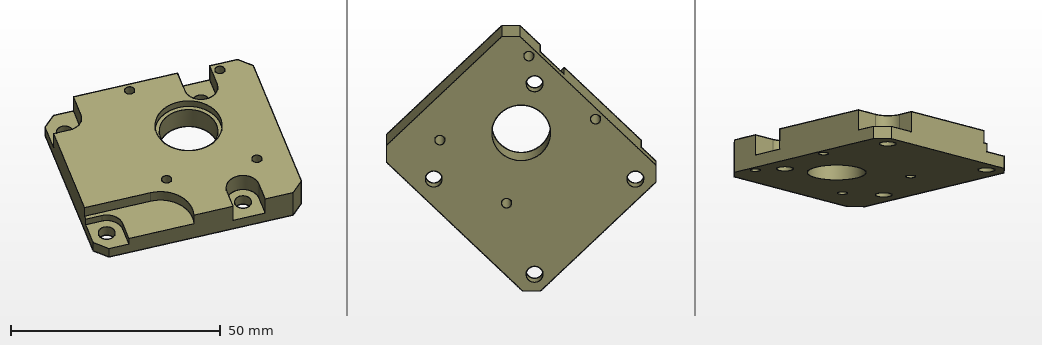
import cadquery as cq

length_x = 45.0
length_y = 52.0
thickness = 8.0
corner_chamfer = 3.0

mount_diameter = 4.0
mount_left = 6.0
mount_front = 4.0
mount_pitch = 34.0
mount_right = mount_left + mount_pitch
mount_back = mount_front + mount_pitch
pocket_radius = 4.0
pocket_floor = 3.0

bore_x = 17.0
bore_y = 31.5
bore_diameter = 14.0
counterbore_diameter = 16.0
counterbore_depth = 2.0

small_diameter = 2.4
small_pitch_x = 30.0
small_pitch_y = 22.5
small_front = 21.4

relief_left = 35.0
relief_radius = 8.0
relief_arc_y = 16.5
relief_floor = 5.0


def block(x_start, x_end, y_start, y_end, floor):
    """Box from the given floor up to the top face."""
    box = cq.Workplane("XY").box(
        x_end - x_start, y_end - y_start, thickness - floor, centered=False
    )
    return box.translate((x_start, y_start, floor))


def cylinder(x, y, diameter, floor=0.0):
    """Vertical cylinder from the given floor up to the top face."""
    plane = cq.Workplane("XY", origin=(x, y, floor))
    return plane.circle(diameter / 2).extrude(thickness - floor)


def screw_pocket(x, y):
    """Round-ended pocket open to the nearer side, and to the front in the front corners."""
    opens_left = x < length_x / 2
    side = 0 if opens_left else length_x
    x_start, x_end = min(x, side), max(x, side)
    pocket = cylinder(x, y, 2 * pocket_radius, pocket_floor)
    pocket = pocket.union(
        block(x_start, x_end, y - pocket_radius, y + pocket_radius, pocket_floor)
    )
    if y == mount_front:
        inner = x + pocket_radius if opens_left else x - pocket_radius
        corner = block(min(inner, side), max(inner, side), 0, y, pocket_floor)
        pocket = pocket.union(corner)
    return pocket


def relief():
    """Shallow pocket open to the front and right, with a round back end."""
    arc_x = relief_left + relief_radius
    round_end = cylinder(arc_x, relief_arc_y, 2 * relief_radius, relief_floor)
    straight = block(relief_left, length_x, 0, relief_arc_y, relief_floor)
    return straight.union(round_end)


plate = cq.Workplane("XY").box(length_x, length_y, thickness, centered=False)
result = plate.edges("|Z").chamfer(corner_chamfer)

result = result.cut(relief())

for mount_x in (mount_left, mount_right):
    for mount_y in (mount_front, mount_back):
        result = result.cut(screw_pocket(mount_x, mount_y))
        result = result.cut(cylinder(mount_x, mount_y, mount_diameter))

result = result.cut(cylinder(bore_x, bore_y, bore_diameter))
counterbore_floor = thickness - counterbore_depth
result = result.cut(cylinder(bore_x, bore_y, counterbore_diameter, counterbore_floor))

for small_x in (bore_x - small_pitch_x / 2, bore_x + small_pitch_x / 2):
    for small_y in (small_front, small_front + small_pitch_y):
        result = result.cut(cylinder(small_x, small_y, small_diameter))